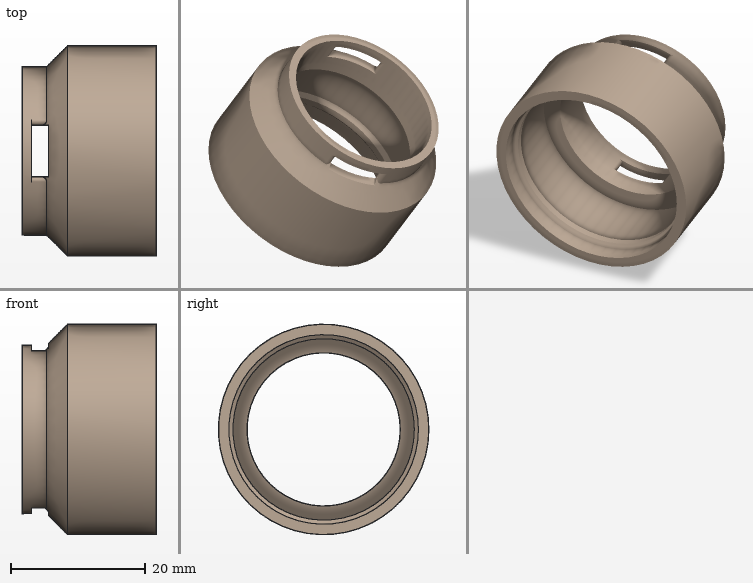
import cadquery as cq
import math

length = 20.0
body_radius = 31.35 / 2
neck_radius = 25.1 / 2
neck_length = 3.67
shoulder_end = neck_length + body_radius - neck_radius

neck_bore_radius = 22.75 / 2
neck_bore_end = 7.0
barrel_bore_radius = 28.2 / 2

ring_radius = 27.0 / 2
ring_start = 15.5
ring_land_length = 1.0
ring_height = barrel_bore_radius - ring_radius
ring_land_start = ring_start + ring_height
ring_land_end = ring_land_start + ring_land_length
ring_end = ring_land_end + ring_height

window_start = 1.45
window_end = 3.92
window_width = 7.65
window_edge_radius = 0.55
edge_pick = 0.03


def revolve_about_x(profile):
    """Turn a closed (x, radius) outline into a solid of revolution about X."""
    return cq.Workplane("XY").polyline(profile).close().revolve(360, (0, 0, 0), (1, 0, 0))


def make_window_cutter():
    """Box spanning both windows."""
    return cq.Workplane("XY").box(
        window_end - window_start, window_width, 2 * body_radius, centered=(False, True, True)
    ).translate((window_start, 0, 0))


def round_window_edges(tube, radius):
    """Round the four long window edges that lie at the given radius."""
    edge_y = window_width / 2
    edge_z = math.sqrt(radius**2 - edge_y**2)
    for y in (-edge_y, edge_y):
        for z in (-edge_z, edge_z):
            selector = cq.selectors.BoxSelector(
                (window_start, y - edge_pick, z - edge_pick),
                (window_end, y + edge_pick, z + edge_pick),
            )
            tube = tube.edges(selector).fillet(window_edge_radius)
    return tube


def make_neck():
    """Neck tube whose windows have rounded outer long edges."""
    tube = revolve_about_x([
        (0, neck_bore_radius),
        (0, neck_radius),
        (window_end, neck_radius),
        (window_end, neck_bore_radius),
    ]).cut(make_window_cutter())
    return round_window_edges(tube, neck_radius)


def make_body():
    """Shoulder and main barrel; the shoulder cone runs in to the neck bore."""
    return revolve_about_x([
        (neck_length - (neck_radius - neck_bore_radius), neck_bore_radius),
        (shoulder_end, body_radius),
        (length, body_radius),
        (length, barrel_bore_radius),
        (ring_end, barrel_bore_radius),
        (ring_land_end, ring_radius),
        (ring_land_start, ring_radius),
        (ring_start, barrel_bore_radius),
        (neck_bore_end, barrel_bore_radius),
        (neck_bore_end, neck_bore_radius),
    ]).cut(make_window_cutter())


sleeve = make_neck().union(make_body())
result = round_window_edges(sleeve, neck_bore_radius)